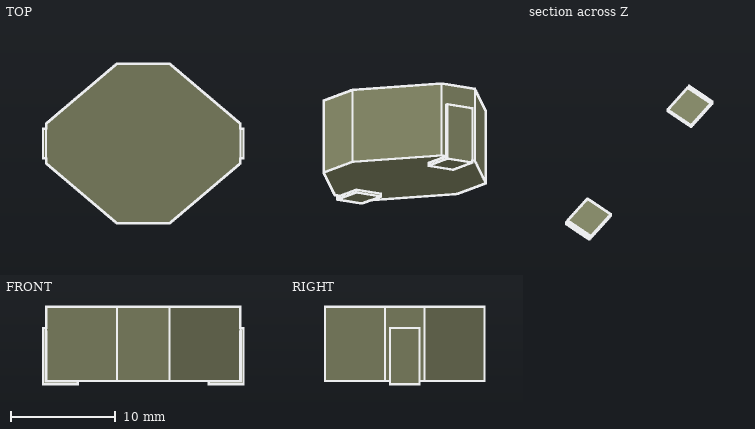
import cadquery as cq

overall_length = 19.2
overall_height = 7.41

strip_thickness = 0.27
clearance = 0.04
standoff = strip_thickness + clearance
strip_width = 2.85
strip_height = 5.35
foot_length = 3.36

body_length = overall_length - 2 * standoff
body_width = 15.28
body_height = overall_height - standoff
end_flat_width = 3.8
side_flat_length = 5.03


def make_body():
    """Octagonal block, raised off the ground by the terminal feet."""
    half_length = body_length / 2
    half_width = body_width / 2
    half_end = end_flat_width / 2
    half_side = side_flat_length / 2
    outline = [
        (half_length, half_end),
        (half_side, half_width),
        (-half_side, half_width),
        (-half_length, half_end),
        (-half_length, -half_end),
        (-half_side, -half_width),
        (half_side, -half_width),
        (half_length, -half_end),
    ]
    base = cq.Workplane("XY").workplane(offset=standoff)
    return base.polyline(outline).close().extrude(body_height)


def make_terminal(side):
    """Bent strip with a top lip, at the +X end (side = 1) or the -X end (side = -1)."""
    outer = side * overall_length / 2
    inner = outer - side * strip_thickness
    lip_tip = outer - side * standoff
    lip_bottom = strip_height - strip_thickness
    foot_tip = outer - side * foot_length
    profile = [
        (outer, 0),
        (outer, strip_height),
        (lip_tip, strip_height),
        (lip_tip, lip_bottom),
        (inner, lip_bottom),
        (inner, strip_thickness),
        (foot_tip, strip_thickness),
        (foot_tip, 0),
    ]
    return cq.Workplane("XZ").polyline(profile).close().extrude(strip_width / 2, both=True)


body = make_body()
terminals = [make_terminal(side) for side in (-1, 1)]

result = cq.Compound.makeCompound([body.val(), *[terminal.val() for terminal in terminals]])